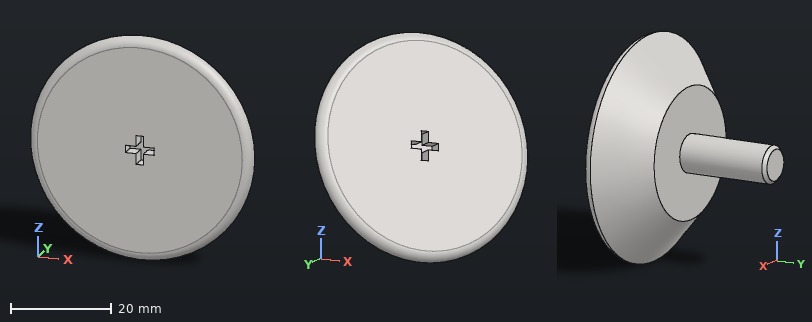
import cadquery as cq

head_diameter = 47.0
total_length = 31.0
stem_length = 20.0
stem_diameter = 8.0
stem_chamfer = 0.75
neck_diameter = 27.5
rim_radius = 2.0

cross_span = 6.0
cross_arm_width = 1.5
cross_depth = 3.0

head_radius = head_diameter / 2
neck_radius = neck_diameter / 2
stem_radius = stem_diameter / 2
head_length = total_length - stem_length
face_y = -total_length / 2
neck_y = face_y + head_length
stem_end_y = face_y + total_length


def turned_body():
    """Conical head with a rounded rim, and a chamfered stem behind it."""
    profile = (
        cq.Workplane("XY")
        .moveTo(0, face_y)
        .lineTo(head_radius - rim_radius, face_y)
        .radiusArc((head_radius, face_y + rim_radius), -rim_radius)
        .lineTo(neck_radius, neck_y)
        .lineTo(stem_radius, neck_y)
        .lineTo(stem_radius, stem_end_y - stem_chamfer)
        .lineTo(stem_radius - stem_chamfer, stem_end_y)
        .lineTo(0, stem_end_y)
        .close()
    )
    return profile.revolve(360, (0, 0, 0), (0, 1, 0))


def cross_recess():
    """Two crossed bars reaching from the front face into the head."""
    recess_center = (0, face_y + cross_depth / 2, 0)
    level_bar = cq.Workplane("XY").box(cross_span, cross_depth, cross_arm_width)
    upright_bar = cq.Workplane("XY").box(cross_arm_width, cross_depth, cross_span)
    return level_bar.union(upright_bar).translate(recess_center)


result = turned_body().cut(cross_recess())